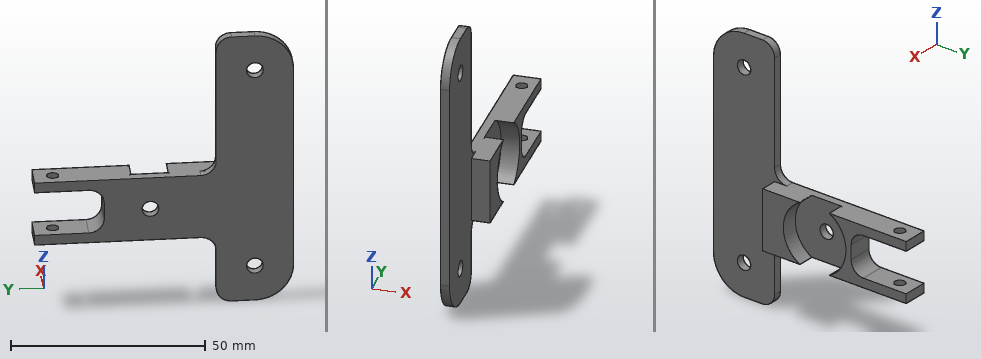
import cadquery as cq

plate_thickness = 2.5
block_depth = 7.5
plate_height = 77.0
total_length = 67.0
crossbar_width = 20.0
arm_width = 18.1
arm_center_z = 27.95
outer_corner_radius = 10.0
inner_corner_radius = 4.0

fork_depth = 18.0
fork_prong = 2.85
fork_corner_radius = 4.0

pocket_radius = 10.25
pocket_center_y = 37.0

mount_hole_diameter = 4.3
prong_hole_diameter = 3.1
prong_hole_inset = 5.0
prong_hole_x = block_depth / 2

arm_bottom = arm_center_z - arm_width / 2
fork_bottom = total_length - fork_depth
fork_gap = arm_width - 2 * fork_prong


def box(x_start, x_end, y_start, y_end, z_start, z_end):
    """Box between the given limits on each axis."""
    size = (x_end - x_start, y_end - y_start, z_end - z_start)
    return cq.Workplane("XY").box(*size, centered=False).translate((x_start, y_start, z_start))


def cut_mount_holes(body):
    """Drill through X at both crossbar ends and in the middle of the pocket."""
    centers = [
        (outer_corner_radius, outer_corner_radius),
        (outer_corner_radius, plate_height - outer_corner_radius),
        (pocket_center_y, arm_center_z),
    ]
    drills = cq.Workplane("YZ").pushPoints(centers).circle(mount_hole_diameter / 2).extrude(block_depth)
    return body.cut(drills)


crossbar = box(0, plate_thickness, 0, crossbar_width, 0, plate_height)
crossbar = crossbar.edges("|X and <Y").fillet(outer_corner_radius)
crossbar = crossbar.edges("|X and >Y").fillet(inner_corner_radius)

arm = box(0, plate_thickness, crossbar_width / 2, total_length, arm_bottom, arm_bottom + arm_width)
plate = crossbar.union(arm)
for corner_z in (arm_bottom, arm_bottom + arm_width):
    corner = cq.selectors.NearestToPointSelector((plate_thickness / 2, crossbar_width, corner_z))
    plate = plate.edges("|X").edges(corner).fillet(inner_corner_radius)

block = box(plate_thickness, block_depth, crossbar_width, total_length, arm_bottom, arm_bottom + arm_width)
pocket = (
    cq.Workplane("YZ", origin=(plate_thickness, pocket_center_y, arm_center_z))
    .circle(pocket_radius)
    .extrude(block_depth - plate_thickness)
)
body = plate.union(block.cut(pocket))

fork_slot = box(
    0, block_depth,
    fork_bottom, total_length,
    arm_bottom + fork_prong, arm_bottom + fork_prong + fork_gap,
)
fork_slot = fork_slot.edges("|X and <Y").fillet(fork_corner_radius)
body = body.cut(fork_slot)

body = cut_mount_holes(body)

pin_hole = (
    cq.Workplane("XY", origin=(prong_hole_x, total_length - prong_hole_inset, arm_bottom))
    .circle(prong_hole_diameter / 2)
    .extrude(arm_width)
)
result = body.cut(pin_hole)